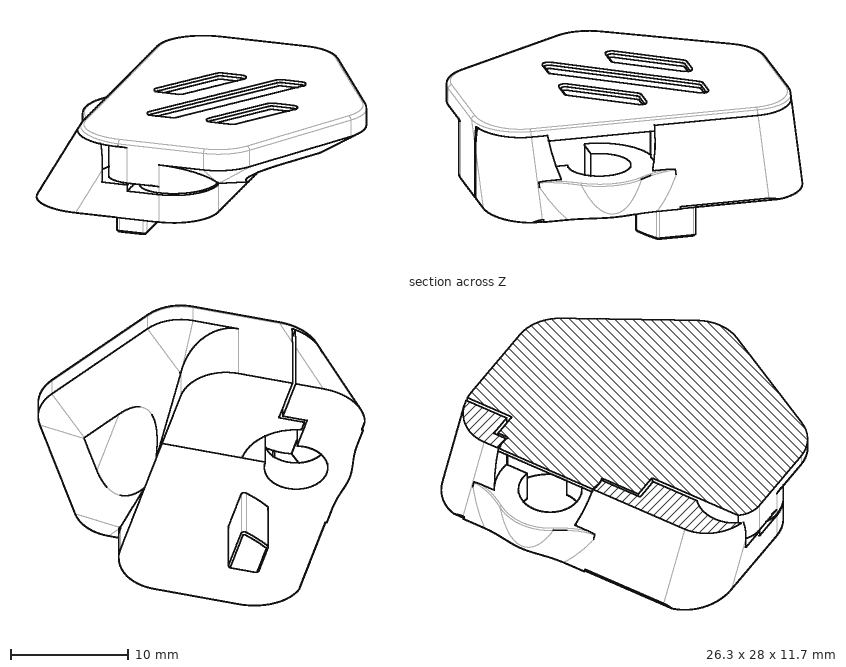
import cadquery as cq
import math

width = 28.0
height = 7.0
half_width = width / 2
corner_radius = 4.0
base_length = 16.02
far = 56.02

lean_angle = 30.0
lean_start = -0.1

nose_angle = 60.0
top_edge_radius = 0.3
seam_height = 6.41
plate_bottom = 5.18
nose_bottom = 2.65
nose_inset = 3.92

seat_x = 4.2
seat_y = 3.85
seat_radius = 4.75
seat_ceiling = 6.0
screw_hole_diameter = 5.4
lip_radius = 4.73
lip_edge_radius = 0.15
lip_reach = 6.02

rear_wall = 4.82
post_front = 6.95
post_end_y = -4.75
far_post_y = 9.8
floor_height = 3.05
floor_recess_height = 2.5
clearance = 0.17
side_clearance = 0.28

foot_radius = 2.45
foot_recess_radius = 2.83
post_recess_radius = 3.28
block_corner_x = 9.15
foot_x = base_length - corner_radius
foot_y = foot_radius - half_width
corner_end_y = corner_radius - half_width

slot_angle = 55.0
slot_width = 3.15
slot_depth = 0.5
slot_corner_radius = 0.4
slot_rim = 0.2
slot_rim_angle = 45.0
slots = [
    (6.67, -1.32, 6.33),
    (7.98, -7.11, 12.13),
    (13.3, -7.11, 6.25),
]

pin_x_min = 5.18
pin_x_max = 7.87
pin_y_min = -5.0
pin_end_radius = 12.1
pin_drop = 4.7
pin_seat_depth = 1.68
pin_edge_radius = 0.28
pin_end_chamfer = 0.17


def block(x_min, x_max, y_min, y_max, z_min, z_max):
    """Box given by its limits."""
    size = (x_max - x_min, y_max - y_min, z_max - z_min)
    return cq.Workplane("XY").box(*size, centered=False).translate((x_min, y_min, z_min))


def cylinder(x, y, radius, z_min, z_max):
    """Vertical cylinder given by its axis, radius and ends."""
    return cq.Workplane("XY", origin=(x, y, z_min)).circle(radius).extrude(z_max - z_min)


nose_tan = math.tan(math.radians(nose_angle))
shoulder_x = base_length + corner_radius * math.tan(math.radians(nose_angle / 2))
nose_normal = math.radians(90 - nose_angle)


def pentagon(inset, z):
    """Sharp five-sided outline, moved inwards by inset on every side."""
    y = half_width - inset
    nose_x = shoulder_x + half_width / nose_tan - inset / math.cos(nose_normal)
    corner_x = nose_x - y / nose_tan
    points = [(inset, -y), (corner_x, -y), (nose_x, 0), (corner_x, y), (inset, y)]
    return cq.Workplane("XY", origin=(0, 0, z)).polyline(points).close()


def make_nose():
    """Plate with the five-sided outline over a sloping underside and a finger groove."""
    rim_height = height - plate_bottom
    slope_drop = plate_bottom - nose_bottom
    plate = pentagon(0, plate_bottom).extrude(rim_height)
    plate = plate.edges("|Z and (not <X)").fillet(corner_radius)
    slope = math.degrees(math.atan2(nose_inset, slope_drop))
    rim_outline = plate.faces("<Z").wires().toPending().workplane()
    rounded_part = rim_outline.extrude(slope_drop, taper=slope)
    sharp_part = pentagon(nose_inset, nose_bottom).extrude(-nose_bottom, taper=slope)
    groove_x = base_length + math.sqrt(corner_radius**2 - (corner_radius - nose_bottom) ** 2)
    groove = (
        cq.Workplane("XZ", origin=(groove_x, half_width, nose_bottom - corner_radius))
        .circle(corner_radius)
        .extrude(width)
        .union(block(groove_x, far, -half_width, half_width, -far, nose_bottom))
    )
    return plate.union(rounded_part).union(sharp_part).cut(groove)


def make_leaning_block():
    """Long block with the leaning rear plane."""
    run = far * math.tan(math.radians(lean_angle))
    points = [(lean_start - run, -far), (lean_start + run, far), (far, far), (far, -far)]
    profile = cq.Workplane("XZ", origin=(0, half_width, 0)).polyline(points).close()
    return profile.extrude(width)


def make_envelope():
    """Outer shape of the base and cover together, without the thumb lip."""
    base = block(0, base_length, -half_width, half_width, 0, plate_bottom)
    base = base.edges("|Z and >X").fillet(corner_radius)
    rear = make_leaning_block().faces("<X").edges("not |Y").fillet(corner_radius)
    body = base.union(make_nose()).intersect(rear)
    return body.faces(">Z").edges().fillet(top_edge_radius)


def make_lip():
    """Thumb lip around the screw seat, blended into the leaning rear plane."""
    barrel = cylinder(seat_x, seat_y, lip_radius, -half_width, width)
    lip = make_leaning_block().union(barrel).edges("%ELLIPSE").fillet(corner_radius)
    y_min = seat_y - lip_reach
    y_max = seat_y + lip_reach
    lip = lip.intersect(block(-far, seat_x, y_min, y_max, 0, floor_height))
    lean_x = lean_start + floor_height * math.tan(math.radians(lean_angle))
    outer_rim = cq.selectors.BoxSelector(
        (-far, -far, floor_height - lip_edge_radius),
        (lean_x - lip_edge_radius / 2, far, floor_height + lip_edge_radius),
    )
    return lip.edges(outer_rim).fillet(lip_edge_radius)


def make_base(envelope):
    """Rear wall, floor and thumb lip, with the screw seat and the foot recess."""
    wall = block(0, rear_wall, -half_width, half_width, 0, seam_height)
    post = block(0, post_front, -half_width, post_end_y, 0, seam_height)
    far_post = block(0, post_front, far_post_y, half_width, 0, seam_height)
    floor = block(0, base_length, -half_width, seat_y, 0, floor_height)
    base = wall.union(post).union(far_post).union(floor).intersect(envelope).union(make_lip())
    base = base.cut(cylinder(seat_x, seat_y, seat_radius, floor_height, seam_height))
    base = base.cut(cylinder(seat_x, seat_y, screw_hole_diameter / 2, 0, floor_height))
    recess = cylinder(foot_x, foot_y, foot_recess_radius, floor_recess_height, floor_height)
    recess = recess.union(
        block(foot_x - foot_recess_radius, base_length, -half_width, foot_y,
              floor_recess_height, floor_height)
    )
    corner_recess = block(foot_x, base_length, -half_width, corner_end_y, floor_recess_height, floor_height)
    post_recess = cylinder(block_corner_x, foot_y, post_recess_radius, floor_height, seam_height)
    return base.cut(recess).cut(corner_recess).cut(post_recess).cut(make_pin())


def make_foot():
    """Round pivot foot that hangs from the cover into the floor recess."""
    foot_bottom = floor_recess_height + clearance
    foot = cylinder(foot_x, foot_y, foot_radius, foot_bottom, seam_height)
    y_max = corner_end_y - clearance
    return foot.union(block(foot_x, base_length, -half_width, y_max, foot_bottom, seam_height))


def make_cover(envelope):
    """Top plate with the nose and the block that fills the space in front of the rear wall."""
    block_bottom = floor_height + clearance
    plate = block(0, far, -half_width, half_width, seam_height, height)
    nose = block(base_length, far, -half_width, half_width, 0, height)
    deep = block(rear_wall + clearance, base_length, seat_y, half_width, 0, seam_height)
    deep = deep.cut(
        block(0, post_front + side_clearance, far_post_y - side_clearance, half_width, 0, seam_height)
    )
    middle = block(rear_wall + clearance, base_length, post_end_y + side_clearance, seat_y,
                   block_bottom, seam_height)
    side = block(block_corner_x - foot_radius, base_length, -half_width, post_end_y + side_clearance,
                 block_bottom, seam_height)
    side = side.edges("|Z and <X and <Y").fillet(foot_radius)
    side = side.cut(block(0, post_front + side_clearance, -half_width, 0, 0, height))
    cover = plate.union(nose).union(deep).union(middle).union(side).union(make_foot())
    cover = cover.intersect(envelope)
    cover = cover.cut(cylinder(seat_x, seat_y, seat_radius, 0, seat_ceiling))
    plug = cylinder(seat_x, seat_y, seat_radius, seat_ceiling, seam_height).intersect(envelope)
    cover = cover.union(plug)
    for x, y, length in slots:
        cover = cover.cut(make_slot(x, y, length))
    return cover


def make_slot(x, y, length):
    """Slanted recess with rounded corners and a bevelled rim, given by its lower left corner."""
    shift = length / math.tan(math.radians(slot_angle))
    outline = [
        (x, y),
        (x + slot_width, y),
        (x + slot_width + shift, y + length),
        (x + shift, y + length),
    ]
    slot = cq.Workplane("XY", origin=(0, 0, height - slot_depth)).polyline(outline).close()
    slot = slot.offset2D(-slot_rim, "intersection").extrude(slot_depth - slot_rim)
    slot = slot.edges("|Z").fillet(slot_corner_radius)
    return slot.faces(">Z").wires().toPending().workplane().extrude(slot_rim, taper=-slot_rim_angle)


def make_pin():
    """Key pin seated in the floor of the base, its +Y end an arc around the pivot foot."""
    pin = block(pin_x_min, pin_x_max, pin_y_min, foot_y + pin_end_radius, -pin_drop, pin_seat_depth)
    pin = pin.intersect(cylinder(foot_x, foot_y, pin_end_radius, -pin_drop, pin_seat_depth))
    pin = pin.edges("|Z").fillet(pin_edge_radius)
    return pin.faces("<Z").edges().chamfer(pin_end_chamfer)


envelope = make_envelope()
base = make_base(envelope)
cover = make_cover(envelope)
pin = make_pin()

result = cq.Compound.makeCompound([*base.vals(), *cover.vals(), *pin.vals()])